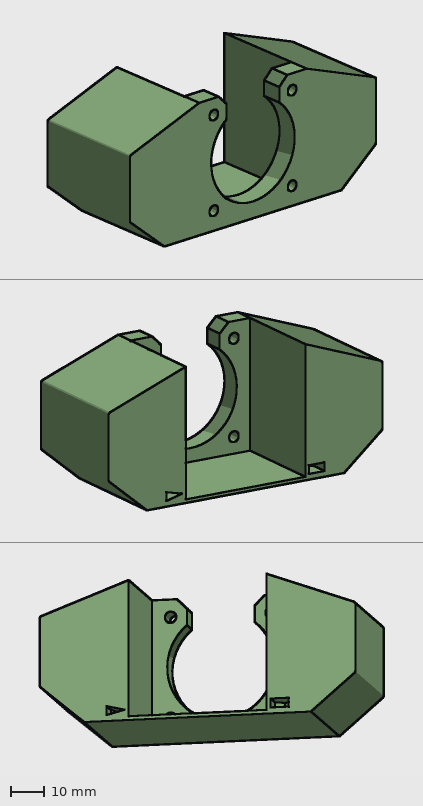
import cadquery as cq
import math

depth = 38.1
width = 97.5
height = 43.0

top_slope = 20.0
bottom_slope = 40.0
side_bottom = 11.5
side_radius = 1.0

bay_width = 42.5
floor_thickness = 1.2
plate_thickness = 7.0

motor_z = 22.0
bore_diameter = 33.1
throat_width = 20.9
throat_chamfer = 3.1
hole_spacing = 31.0
hole_diameter = 3.4

nut_width = 5.6
nut_height = 2.7
nut_y = 25.35
nut_z = 3.2
nut_straight_depth = 5.85
nut_point_slope = 30.0
nut_point_depth = nut_width / 2 * math.tan(math.radians(nut_point_slope))

half_width = width / 2
half_bay = bay_width / 2
side_top = height - (half_width - half_bay) * math.tan(math.radians(top_slope))
half_bottom = half_width - side_bottom / math.tan(math.radians(bottom_slope))
plate_x = depth - plate_thickness


def make_body():
    """Extrude the symmetric end profile along X and round its sides."""
    right_half = [
        (half_bottom, 0),
        (half_width, side_bottom),
        (half_width, side_top),
        (half_bay, height),
    ]
    left_half = [(-y, z) for y, z in reversed(right_half)]
    body = cq.Workplane("YZ").polyline(right_half + left_half).close().extrude(depth)
    side_edges = body.faces("<Y or >Y").edges("|X")
    return side_edges.fillet(side_radius)


def make_bay():
    """Block that empties the space in front of the motor plate."""
    return cq.Workplane("XY").box(
        plate_x, bay_width, height, centered=(False, True, False)
    ).translate((0, 0, floor_thickness))


def make_plate_openings():
    """Motor bore, chamfered throat above it and four screw holes."""
    plate = cq.Workplane("YZ", origin=(plate_x, 0, motor_z))
    bore = plate.circle(bore_diameter / 2).extrude(plate_thickness)
    screws = (
        plate.rect(hole_spacing, hole_spacing, forConstruction=True)
        .vertices()
        .circle(hole_diameter / 2)
        .extrude(plate_thickness)
    )
    top = height - motor_z
    half_throat = throat_width / 2
    throat = (
        plate.moveTo(-half_throat, 0)
        .lineTo(half_throat, 0)
        .lineTo(half_throat, top - throat_chamfer)
        .lineTo(half_throat + throat_chamfer, top)
        .lineTo(-half_throat - throat_chamfer, top)
        .lineTo(-half_throat, top - throat_chamfer)
        .close()
        .extrude(plate_thickness)
    )
    return bore.union(throat).union(screws)


def make_nut_pocket(y):
    """Rectangular pocket whose inner end comes to a vertical edge."""
    return (
        cq.Workplane("XY", origin=(0, y, nut_z - nut_height / 2))
        .moveTo(0, -nut_width / 2)
        .lineTo(nut_straight_depth, -nut_width / 2)
        .lineTo(nut_straight_depth + nut_point_depth, 0)
        .lineTo(nut_straight_depth, nut_width / 2)
        .lineTo(0, nut_width / 2)
        .close()
        .extrude(nut_height)
    )


def make_tapered_pocket(y):
    """Nut pocket whose height tapers to nothing towards the bay."""
    taper = (
        cq.Workplane("YZ", origin=(0, y, nut_z))
        .moveTo(-nut_width / 2, 0)
        .lineTo(nut_width / 2, nut_height / 2)
        .lineTo(nut_width / 2, -nut_height / 2)
        .close()
        .extrude(nut_straight_depth + nut_point_depth)
    )
    return make_nut_pocket(y).intersect(taper)


result = (
    make_body()
    .cut(make_bay())
    .cut(make_plate_openings())
    .cut(make_nut_pocket(-nut_y))
    .cut(make_tapered_pocket(nut_y))
)